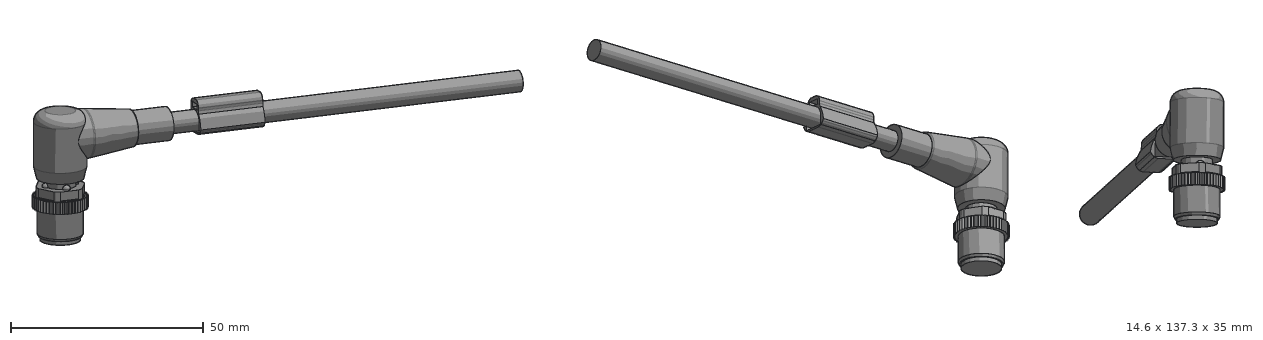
import cadquery as cq
import math


BARREL_RADIUS = 7.0
BARREL_TOP = 7.0
BARREL_ROUNDING = 3.0
BARREL_TAPER_START = -8.0
BARREL_BOTTOM = -11.2
BARREL_BOTTOM_RADIUS = 6.2
STUB_RADIUS = 6.6
STUB_END = 6.8
STUB_BLEND_LENGTH = 0.4
STUB_BLEND_RADIUS = 6.55
CONE_END = 20.2
CONE_END_RADIUS = 5.0
CONE_END_ROUNDING = 0.3
BOOT_RADIUS = 4.5
BOOT_END = 30.3

CABLE_RADIUS = 2.85
CABLE_END = 129.96
CABLE_START = CONE_END

MARKER_START = 38.1
MARKER_LENGTH = 18.2
MARKER_TOP = 5.75
MARKER_TOP_HALF_WIDTH = 1.05
SHOULDER_HALF_WIDTH = 2.5
SHOULDER_RADIUS = 1.9
SHOULDER_ROUNDING_BOTTOM = 3.9
SHOULDER_BOTTOM = 3.15
FLANK_TOP_HALF_WIDTH = 2.6
FLANK_TOP = 2.3
FLANK_BOTTOM_HALF_WIDTH = 4.05
FLANK_BOTTOM = -1.6
FLANK_RADIUS = 8.0
LEDGE_HALF_WIDTH = 3.8
LEDGE_BOTTOM = -2.1
SLOT_HALF_WIDTH = 1.6
SLOT_FLOOR = 3.2
SLOT_CEILING = 4.7
MARKER_BOTTOM = -3.35
MARKER_BOTTOM_HALF_WIDTH = 2.0
UNDERSIDE_RADIUS = 2.4
SQUARE_BORE_HALF_WIDTH = CABLE_RADIUS

NECK_RADIUS = 4.1
RIM_RADIUS = 5.3
CARRIER_BOTTOM = -28.0
RIM_SHOULDER = -26.0
DETENT_RADIUS = 1.1
DETENT_CENTER_RADIUS = 4.0
DETENT_COUNT = 4

HEX_TOP = -13.2
HEX_FLATS = 12.2
HEX_CORNER_RADIUS = 6.6
COLLAR_TOP = -15.9
COLLAR_BOTTOM = -19.1
COLLAR_RADIUS = 7.3
TOOTH_DEPTH = 0.4
TOOTH_COUNT = 48
COLLAR_STEP_RADIUS = 6.5
COLLAR_STEP_TOP = -15.6
SLEEVE_RADIUS = 6.05
SLEEVE_CHAMFER_TOP = -26.2
SLEEVE_BOTTOM = -26.9
SLEEVE_BOTTOM_RADIUS = 5.7


def y_cylinder(radius, start, end):
    """Cylinder along the cable axis between two Y positions."""
    axis = cq.Vector(0, 1, 0)
    return cq.Workplane(cq.Solid.makeCylinder(radius, end - start, cq.Vector(0, start, 0), axis))


def z_cylinder(radius, bottom, top):
    """Cylinder along the plug axis between two Z positions."""
    return cq.Workplane("XY", origin=(0, 0, bottom)).circle(radius).extrude(top - bottom)


def make_housing():
    """Barrel on the plug axis joined to a stub, cone and boot on the cable axis."""
    corner = BARREL_ROUNDING * math.sqrt(0.5)
    barrel = (
        cq.Workplane("XZ")
        .moveTo(0, BARREL_BOTTOM)
        .lineTo(BARREL_BOTTOM_RADIUS, BARREL_BOTTOM)
        .lineTo(BARREL_RADIUS, BARREL_TAPER_START)
        .lineTo(BARREL_RADIUS, BARREL_TOP - BARREL_ROUNDING)
        .threePointArc(
            (BARREL_RADIUS - BARREL_ROUNDING + corner, BARREL_TOP - BARREL_ROUNDING + corner),
            (BARREL_RADIUS - BARREL_ROUNDING, BARREL_TOP),
        )
        .lineTo(0, BARREL_TOP)
        .close()
        .revolve(360, (0, 0, 0), (0, 1, 0))
    )
    boot = (
        cq.Workplane("XY")
        .lineTo(STUB_RADIUS, 0)
        .lineTo(STUB_RADIUS, STUB_END)
        .lineTo(STUB_BLEND_RADIUS, STUB_END + STUB_BLEND_LENGTH)
        .lineTo(CONE_END_RADIUS, CONE_END - CONE_END_ROUNDING)
        .radiusArc((CONE_END_RADIUS - CONE_END_ROUNDING, CONE_END), -CONE_END_ROUNDING)
        .lineTo(BOOT_RADIUS, CONE_END)
        .lineTo(BOOT_RADIUS, BOOT_END)
        .lineTo(0, BOOT_END)
        .close()
        .revolve(360, (0, 0, 0), (0, 1, 0))
    )
    return barrel.union(boot).cut(y_cylinder(CABLE_RADIUS, CABLE_START, BOOT_END))


def make_cable():
    return y_cylinder(CABLE_RADIUS, CABLE_START, CABLE_END)


def marker_channel(half_width, floor, ceiling):
    """Rectangular channel through the whole length of the marker."""
    height = ceiling - floor
    channel = cq.Workplane("XY").box(2 * half_width, MARKER_LENGTH, height, centered=(True, False, False))
    return channel.translate((0, MARKER_START, floor))


def make_marker():
    """Holder with a label slot above the cable and a bore that is square below the cable axis."""
    end = MARKER_START + MARKER_LENGTH
    holder = (
        cq.Workplane("XZ", origin=(0, end, 0))
        .moveTo(-MARKER_TOP_HALF_WIDTH, MARKER_TOP)
        .lineTo(MARKER_TOP_HALF_WIDTH, MARKER_TOP)
        .radiusArc((SHOULDER_HALF_WIDTH, SHOULDER_ROUNDING_BOTTOM), SHOULDER_RADIUS)
        .lineTo(SHOULDER_HALF_WIDTH, SHOULDER_BOTTOM)
        .lineTo(FLANK_TOP_HALF_WIDTH, FLANK_TOP)
        .radiusArc((FLANK_BOTTOM_HALF_WIDTH, FLANK_BOTTOM), FLANK_RADIUS)
        .lineTo(LEDGE_HALF_WIDTH, LEDGE_BOTTOM)
        .radiusArc((MARKER_BOTTOM_HALF_WIDTH, MARKER_BOTTOM), UNDERSIDE_RADIUS)
        .lineTo(-MARKER_BOTTOM_HALF_WIDTH, MARKER_BOTTOM)
        .radiusArc((-LEDGE_HALF_WIDTH, LEDGE_BOTTOM), UNDERSIDE_RADIUS)
        .lineTo(-FLANK_BOTTOM_HALF_WIDTH, FLANK_BOTTOM)
        .radiusArc((-FLANK_TOP_HALF_WIDTH, FLANK_TOP), FLANK_RADIUS)
        .lineTo(-SHOULDER_HALF_WIDTH, SHOULDER_BOTTOM)
        .lineTo(-SHOULDER_HALF_WIDTH, SHOULDER_ROUNDING_BOTTOM)
        .radiusArc((-MARKER_TOP_HALF_WIDTH, MARKER_TOP), SHOULDER_RADIUS)
        .close()
        .extrude(MARKER_LENGTH)
    )
    label_slot = marker_channel(SLOT_HALF_WIDTH, SLOT_FLOOR, SLOT_CEILING)
    bore = y_cylinder(CABLE_RADIUS, MARKER_START, end)
    square_bore = marker_channel(SQUARE_BORE_HALF_WIDTH, -CABLE_RADIUS, 0)
    return holder.cut(label_slot).cut(bore).cut(square_bore)


def make_carrier():
    """Core that fills the nut, with half-ball detents on the neck just above the hexagon."""
    carrier = z_cylinder(NECK_RADIUS, CARRIER_BOTTOM, BARREL_BOTTOM)
    carrier = carrier.union(z_cylinder(RIM_RADIUS, CARRIER_BOTTOM, RIM_SHOULDER))
    above_nut = z_cylinder(COLLAR_RADIUS, HEX_TOP, BARREL_BOTTOM)
    for index in range(DETENT_COUNT):
        angle = 2 * math.pi * index / DETENT_COUNT
        center_x = DETENT_CENTER_RADIUS * math.cos(angle)
        center_y = DETENT_CENTER_RADIUS * math.sin(angle)
        detent = cq.Workplane("XY").sphere(DETENT_RADIUS).translate((center_x, center_y, HEX_TOP))
        carrier = carrier.union(detent.intersect(above_nut))
    return carrier


def make_knurled_collar():
    """Ring of V-shaped teeth with a low step on its upper side."""
    pitch = 2 * math.pi / TOOTH_COUNT
    root_radius = COLLAR_RADIUS - TOOTH_DEPTH
    outline = []
    for tooth in range(TOOTH_COUNT):
        tip = tooth * pitch
        root = tip + pitch / 2
        outline.append((COLLAR_RADIUS * math.cos(tip), COLLAR_RADIUS * math.sin(tip)))
        outline.append((root_radius * math.cos(root), root_radius * math.sin(root)))
    height = COLLAR_TOP - COLLAR_BOTTOM
    teeth = cq.Workplane("XY", origin=(0, 0, COLLAR_BOTTOM)).polyline(outline).close().extrude(height)
    return teeth.union(z_cylinder(COLLAR_STEP_RADIUS, COLLAR_BOTTOM, COLLAR_STEP_TOP))


def make_nut():
    """Hexagon with rounded corners, knurled collar and sleeve, bored to fit the carrier."""
    sides = 6
    hex_across_corners = HEX_FLATS / math.cos(math.pi / sides)
    hexagon = (
        cq.Workplane("XY", origin=(0, 0, COLLAR_TOP))
        .transformed(rotate=(0, 0, 180 / sides))
        .polygon(sides, hex_across_corners)
        .extrude(HEX_TOP - COLLAR_TOP)
        .intersect(z_cylinder(HEX_CORNER_RADIUS, COLLAR_TOP, HEX_TOP))
    )
    sleeve = z_cylinder(SLEEVE_RADIUS, SLEEVE_BOTTOM, COLLAR_TOP)
    sleeve = sleeve.faces("<Z").chamfer(
        SLEEVE_CHAMFER_TOP - SLEEVE_BOTTOM, SLEEVE_RADIUS - SLEEVE_BOTTOM_RADIUS
    )
    nut = sleeve.union(make_knurled_collar()).union(hexagon)
    nut = nut.cut(z_cylinder(NECK_RADIUS, SLEEVE_BOTTOM, HEX_TOP))
    return nut.cut(z_cylinder(RIM_RADIUS, SLEEVE_BOTTOM, RIM_SHOULDER))


housing = make_housing()
cable = make_cable()
marker = make_marker()
carrier = make_carrier()
nut = make_nut()

result = cq.Compound.makeCompound(
    [housing.val(), cable.val(), marker.val(), carrier.val(), nut.val()]
)